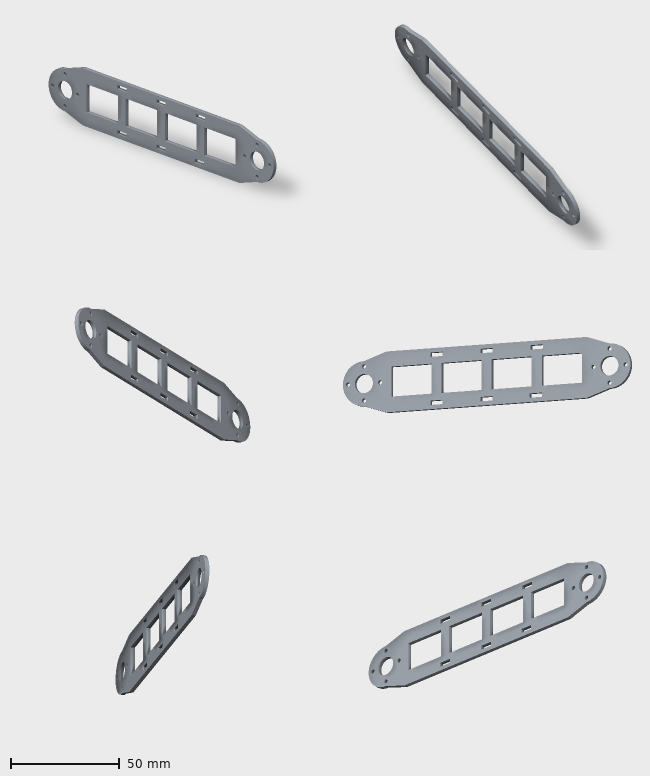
import cadquery as cq

thickness = 2.0
body_height = 28.5
body_half_length = 50.0

end_radius = 10.5
end_center_x = 61.25
bore_diameter = 9.0
small_hole_diameter = 2.0
small_hole_ring_radius = 8.0
small_holes_per_end = 4

window_count = 4
window_pitch = 25.0
window_length = 20.0
window_height = 14.0

slot_length = 6.0
slot_height = 2.0
slot_row_z = 11.25
slot_count = window_count - 1
last_lower_slot_shift = -0.5


def row_positions(count, pitch):
    """X positions of an evenly spaced row centered on the origin."""
    return [(i - (count - 1) / 2) * pitch for i in range(count)]


def make_plate():
    """Straight body whose tapered shoulders run into the round ends."""
    half_height = body_height / 2
    tip_x = end_center_x + end_radius
    return (
        cq.Workplane("XZ")
        .moveTo(-body_half_length, half_height)
        .lineTo(body_half_length, half_height)
        .lineTo(end_center_x, end_radius)
        .threePointArc((tip_x, 0), (end_center_x, -end_radius))
        .lineTo(body_half_length, -half_height)
        .lineTo(-body_half_length, -half_height)
        .lineTo(-end_center_x, -end_radius)
        .threePointArc((-tip_x, 0), (-end_center_x, end_radius))
        .close()
        .extrude(thickness / 2, both=True)
    )


def cut_end_holes(plate, center_x):
    """Bore and small-hole ring of one round end."""
    end_plane = cq.Workplane("XZ").center(center_x, 0)
    bore = end_plane.circle(bore_diameter / 2).extrude(thickness, both=True)
    small_holes = (
        end_plane.polarArray(small_hole_ring_radius, 0, 360, small_holes_per_end)
        .circle(small_hole_diameter / 2)
        .extrude(thickness, both=True)
    )
    return plate.cut(bore).cut(small_holes)


def cut_rectangles(plate, centers, length, height):
    """Rectangular through openings at the given (x, z) centers."""
    openings = (
        cq.Workplane("XZ")
        .pushPoints(centers)
        .rect(length, height)
        .extrude(thickness, both=True)
    )
    return plate.cut(openings)


window_centers = [(x, 0) for x in row_positions(window_count, window_pitch)]

slot_xs = row_positions(slot_count, window_pitch)
upper_slot_centers = [(x, slot_row_z) for x in slot_xs]
lower_slot_centers = [(x, -slot_row_z) for x in slot_xs[:-1]]
lower_slot_centers.append((slot_xs[-1] + last_lower_slot_shift, -slot_row_z))

result = make_plate()
for end_x in (-end_center_x, end_center_x):
    result = cut_end_holes(result, end_x)
result = cut_rectangles(result, window_centers, window_length, window_height)
result = cut_rectangles(result, upper_slot_centers + lower_slot_centers, slot_length, slot_height)